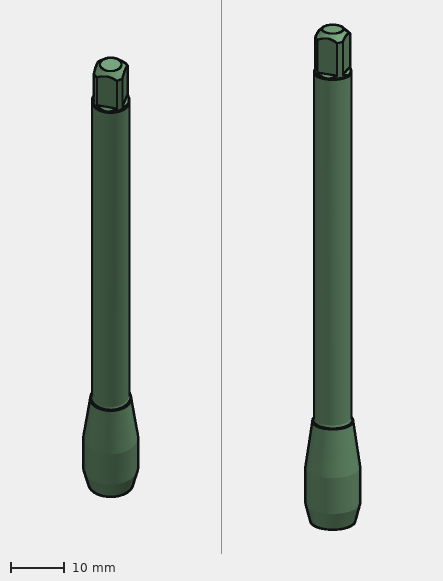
import cadquery as cq

TOTAL_LENGTH = 100.1

SHAFT_DIAMETER = 7.0
DRIVE_CORNER_DIAMETER = 6.7
FOOT_DIAMETER = 7.3
FOOT_HEIGHT = 0.5
SHOULDER_HEIGHT = 91.5
SHOULDER_CHAMFER = (SHAFT_DIAMETER - DRIVE_CORNER_DIAMETER) / 2
FLATS_BOTTOM = 92.1
RUNOUT_ANGLE = 45.0
DRIVE_ACROSS_FLATS = 5.5
DRIVE_TIP_DIAMETER = 4.0

HOLDER_DIAMETER = 10.2
HOLDER_BASE_DIAMETER = 8.4
HOLDER_NECK_DIAMETER = 7.6
BASE_TAPER_TOP = 3.6
NECK_TAPER_BOTTOM = 10.9
HOLDER_LENGTH = 20.4
RIM_CHAMFER = (HOLDER_NECK_DIAMETER - FOOT_DIAMETER) / 2


def make_holder():
    """Tapered holder with a chamfered rim and a flat end that meets the foot of the shaft."""
    outline = [
        (0, 0),
        (HOLDER_BASE_DIAMETER / 2, 0),
        (HOLDER_DIAMETER / 2, BASE_TAPER_TOP),
        (HOLDER_DIAMETER / 2, NECK_TAPER_BOTTOM),
        (HOLDER_NECK_DIAMETER / 2, HOLDER_LENGTH - RIM_CHAMFER),
        (FOOT_DIAMETER / 2, HOLDER_LENGTH),
        (0, HOLDER_LENGTH),
    ]
    return cq.Workplane("XZ").polyline(outline).close().revolve(360, (0, 0), (0, 1))


def make_drive():
    """Square with turned corners, a 45 degree conical tip and flats that run out to the shoulder."""
    drive_bottom = SHOULDER_HEIGHT - SHOULDER_CHAMFER
    tip_chamfer = (DRIVE_CORNER_DIAMETER - DRIVE_TIP_DIAMETER) / 2
    envelope = (
        cq.Workplane("XY")
        .workplane(offset=drive_bottom)
        .circle(DRIVE_CORNER_DIAMETER / 2)
        .extrude(TOTAL_LENGTH - drive_bottom)
        .faces(">Z")
        .chamfer(tip_chamfer)
    )
    square = (
        cq.Workplane("XY")
        .workplane(offset=FLATS_BOTTOM)
        .rect(DRIVE_ACROSS_FLATS, DRIVE_ACROSS_FLATS)
        .extrude(TOTAL_LENGTH - FLATS_BOTTOM)
    )
    runout = (
        cq.Workplane("XY")
        .workplane(offset=FLATS_BOTTOM)
        .rect(DRIVE_ACROSS_FLATS, DRIVE_ACROSS_FLATS)
        .extrude(drive_bottom - FLATS_BOTTOM, taper=-RUNOUT_ANGLE)
    )
    return envelope.intersect(square.union(runout))


def make_shaft():
    """Round shaft with a slightly flared foot, a chamfered shoulder and a square drive."""
    outline = [
        (0, HOLDER_LENGTH),
        (FOOT_DIAMETER / 2, HOLDER_LENGTH),
        (SHAFT_DIAMETER / 2, HOLDER_LENGTH + FOOT_HEIGHT),
        (SHAFT_DIAMETER / 2, SHOULDER_HEIGHT - SHOULDER_CHAMFER),
        (DRIVE_CORNER_DIAMETER / 2, SHOULDER_HEIGHT),
        (0, SHOULDER_HEIGHT),
    ]
    rod = cq.Workplane("XZ").polyline(outline).close().revolve(360, (0, 0), (0, 1))
    return rod.union(make_drive())


holder = make_holder()
shaft = make_shaft()
result = cq.Compound.makeCompound([holder.val(), shaft.val()])